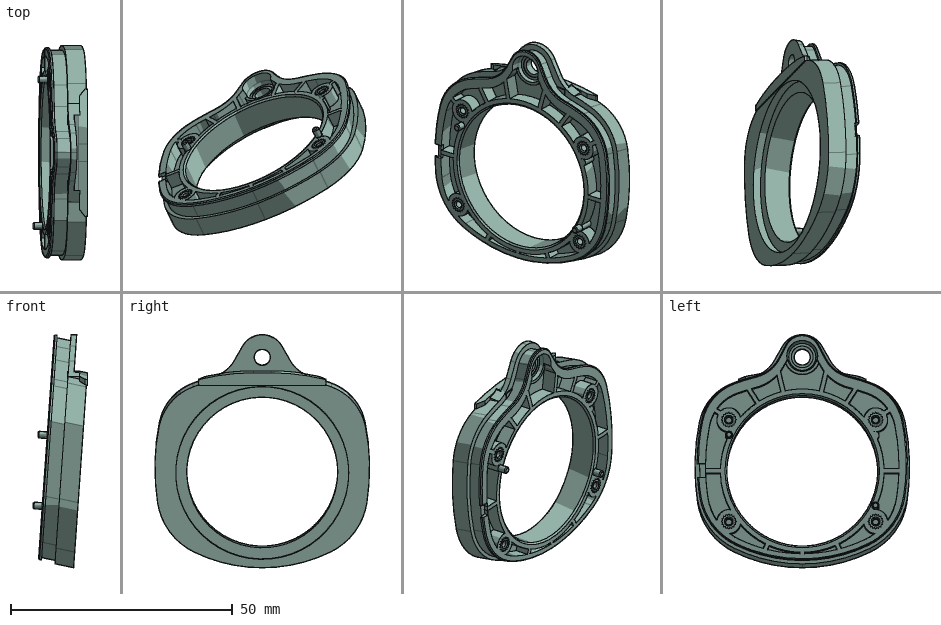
import cadquery as cq
import math

LEAN_ANGLE = 4.0
WALL_SLANT = math.tan(math.radians(8.0))

RIM_DEPTH = 0.7
RIM_CHAMFER = 0.25
FLANGE_FRONT = 3.78
LUG_BACK = 5.1
SHOULDER_BACK = 6.4
BORE_END = 6.3
FLANGE_BACK = 8.07

BOTTOM_RADIUS = 35.0
BOTTOM_EDGE = -20.28
SIDE_RADIUS = 49.0
SIDE_EDGE = 24.195
SIDE_CENTRE_Z = 1.96
TOP_RADIUS = 45.0
TOP_EDGE = 23.4
LOWER_CORNER_RADIUS = 15.0
UPPER_CORNER_RADIUS = 12.0

FLANGE_LUG = (5.1, 26.43, 12.9)
FRONT_LUG = (4.7, 26.83, 12.4)
LUG_FILLET_RADIUS = 7.5
LUG_ROOT_Y = FLANGE_LUG[2] * TOP_RADIUS / (TOP_RADIUS + LUG_FILLET_RADIUS)
LUG_BASE_Z = 20.5

RIM_INSET = 0.5
NECK_INSET = 1.05
FRONT_DROP = 0.3
POCKET_INSET = 2.4
POCKET_DROP = 0.9

BORE_RADIUS = 17.0
BORE_CHAMFER = 0.4
BACK_RECESS_RADIUS = 19.5

POCKET_DEPTH = 3.3
POCKET_INNER_RADIUS = 18.45
RIB_WIDTH = 1.0
RIB_LENGTH = 14.0
RIB_ANGLES = (13.5, 33.0, 55.0, 90.0, 154.7)
BOTTOM_RIB_ANGLE = 180.0

LUG_HOLE_Z = 25.9
LUG_HOLE_RADIUS = 1.8
LUG_HOLE_LEAD_IN_RADIUS = 2.45
LUG_HOLE_LEAD_IN_DEPTH = 0.15
LUG_SEAT_RADIUS = 3.05
LUG_MOUTH_RADIUS = 3.5
LUG_STEP_RADIUS = 3.35
LUG_SEAT_DEPTH = 2.9
LUG_BOSS_RADIUS = 4.0
LUG_BOSS_TOP = 2.0

INSERT_Y = 16.55
INSERT_Z = 11.5
INSERT_RADIUS = 1.69
INSERT_ROOT_RADIUS = 1.4
INSERT_LENGTH = 3.0
INSERT_HOLE_RADIUS = 0.72
INSERT_CHAMFER = 0.28
KNURL_TEETH = 16
INSERT_BOSS_RADIUS = 2.7

PIN_Y = 16.5
PIN_Z = 8.0
PIN_RADIUS = 0.78
PIN_LENGTH = 2.06
PIN_CHAMFER = 0.25
PIN_BOSS_RADIUS = 0.85
PIN_PLACES = ((PIN_Y, PIN_Z), (-PIN_Y, -PIN_Z))
PIN_BOSS_PLACES = PIN_PLACES + ((-PIN_Y, PIN_Z),)

NOTCH_WIDTH = 3.1
NOTCH_INNER_Y = SIDE_EDGE - POCKET_INSET
NOTCH_DEPTH = 0.9

HOOD_FILLER_BACK = 7.6
HOOD_PLATE_FRONT = 7.85
HOOD_PLATE_BACK = 9.69
HOOD_TOP = 22.48
HOOD_BOTTOM = 19.6
HOOD_FLAT_HALF_WIDTH = 2.0
HOOD_ARC_RADIUS = 50.0
HOOD_SLANT = math.tan(math.radians(12.0))
HOOD_HALF_WIDTH = 14.35
HOOD_FRONT_HALF_WIDTH = 12.8
HOOD_END_DEPTH = 1.25
HOOD_STEP_HALF_WIDTH = 8.5

REACH = 60.0


def along(start, toward, distance):
    """Point at a distance from start on the line toward another point."""
    span = math.dist(start, toward)
    return tuple(a + (b - a) * distance / span for a, b in zip(start, toward))


def meeting_point(centre_a, radius_a, centre_b, radius_b):
    """Rightmost (+Y) crossing of two circles."""
    (ya, za), (yb, zb) = centre_a, centre_b
    gap = math.dist(centre_a, centre_b)
    run = (radius_a**2 - radius_b**2 + gap**2) / (2 * gap)
    rise = math.sqrt(radius_a**2 - run**2)
    uy, uz = (yb - ya) / gap, (zb - za) / gap
    return max((ya + run * uy - s * rise * uz, za + run * uz + s * rise * uy) for s in (1, -1))


def arc_edge(centre, start, end):
    """Shorter arc about a centre in the plane X = 0."""
    middle = along(centre, tuple((a + b) / 2 for a, b in zip(start, end)), math.dist(centre, start))
    return cq.Edge.makeThreePointArc(*(cq.Vector(0, *p) for p in (start, middle, end)))


def outline(inset=0.0, rise=0.0, lug=FLANGE_LUG):
    """Face in the plane X = 0 bounded by the oval, with or without the lug."""
    bottom_r = BOTTOM_RADIUS - inset
    side_r = SIDE_RADIUS - inset
    top_r = TOP_RADIUS - inset
    lower_r = LOWER_CORNER_RADIUS - inset
    upper_r = UPPER_CORNER_RADIUS - inset
    bottom_c = (0, BOTTOM_EDGE + BOTTOM_RADIUS)
    side_c = (SIDE_EDGE - SIDE_RADIUS, SIDE_CENTRE_Z)
    top_c = (0, TOP_EDGE - TOP_RADIUS)
    lower_c = meeting_point(bottom_c, bottom_r - lower_r, side_c, side_r - lower_r)
    upper_c = meeting_point(top_c, top_r - upper_r, side_c, side_r - upper_r)

    bottom = (0, BOTTOM_EDGE + inset)
    bottom_to_lower = along(bottom_c, lower_c, bottom_r)
    lower_to_side = along(side_c, lower_c, side_r)
    side_to_upper = along(side_c, upper_c, side_r)
    upper_to_top = along(top_c, upper_c, top_r)
    edges = [
        arc_edge(bottom_c, bottom, bottom_to_lower),
        arc_edge(lower_c, bottom_to_lower, lower_to_side),
        arc_edge(side_c, lower_to_side, side_to_upper),
        arc_edge(upper_c, side_to_upper, upper_to_top),
    ]
    if lug:
        edges += lug_edges(lug, inset, top_c, upper_to_top)
    else:
        edges.append(arc_edge(top_c, upper_to_top, (0, TOP_EDGE - inset)))
    edges += [edge.mirror("XZ") for edge in edges]
    face = cq.Face.makeFromWires(cq.Wire.assembleEdges(edges))
    return face.translate(cq.Vector(0, 0, rise))


def lug_edges(lug, inset, top_c, start):
    """Top arc, concave fillet, straight flank and round end of one half of the lug."""
    top_r = TOP_RADIUS - inset
    end_r, end_z, fillet_y = lug
    lug_r = end_r - inset
    fillet_r = LUG_FILLET_RADIUS + inset
    lug_c = (0, end_z)
    reach = TOP_RADIUS + LUG_FILLET_RADIUS
    fillet_c = (fillet_y, top_c[1] + math.sqrt(reach**2 - fillet_y**2))
    top_to_fillet = along(top_c, fillet_c, top_r)

    bearing = math.atan2(fillet_c[1] - lug_c[1], fillet_c[0] - lug_c[0])
    normal = bearing + math.acos((lug_r + fillet_r) / math.dist(lug_c, fillet_c))
    ny, nz = math.cos(normal), math.sin(normal)
    flank_low = (fillet_c[0] - fillet_r * ny, fillet_c[1] - fillet_r * nz)
    flank_high = (lug_c[0] + lug_r * ny, lug_c[1] + lug_r * nz)
    return [
        arc_edge(top_c, start, top_to_fillet),
        arc_edge(fillet_c, top_to_fillet, flank_low),
        cq.Edge.makeLine(cq.Vector(0, *flank_low), cq.Vector(0, *flank_high)),
        arc_edge(lug_c, flank_high, (0, end_z + lug_r)),
    ]


def layer(face, front, back, slant=WALL_SLANT, drop_from=0.0):
    """Solid from a face between two depths; its walls drop with depth from the given depth on."""
    start = cq.Vector(front, 0, -slant * (front - drop_from))
    length = cq.Vector(back - front, 0, -slant * (back - front))
    return cq.Workplane(cq.Solid.extrudeLinear(face.translate(start), length))


def cylinder(radius, front, back, y=0.0, z=0.0):
    return cq.Workplane("YZ", origin=(front, y, z)).circle(radius).extrude(back - front)


def cone(front_radius, back_radius, front, back, y=0.0, z=0.0):
    return cq.Workplane(
        cq.Solid.makeCone(front_radius, back_radius, back - front, cq.Vector(front, y, z), cq.Vector(1, 0, 0))
    )


def block(x_range, y_range, z_range):
    lows, highs = zip(x_range, y_range, z_range)
    sizes = [high - low for low, high in zip(lows, highs)]
    return cq.Workplane("XY").box(*sizes, centered=False).translate(lows)


def front_shell():
    """Chamfered rim and the narrower neck that joins it to the flange."""
    rim = layer(outline(RIM_INSET, -FRONT_DROP, FRONT_LUG), 0, RIM_DEPTH)
    rim = rim.faces("<X").chamfer(RIM_CHAMFER)
    neck = layer(outline(NECK_INSET, -FRONT_DROP, FRONT_LUG), 0, FLANGE_FRONT)
    return rim.union(neck)


def flange():
    """Lug plate, oval body and hood."""
    oval = layer(outline(lug=None), FLANGE_FRONT, FLANGE_BACK)
    front_rise = -WALL_SLANT * FLANGE_FRONT
    level = -math.tan(math.radians(LEAN_ANGLE))
    lug = layer(outline(rise=front_rise), FLANGE_FRONT, SHOULDER_BACK, level, FLANGE_FRONT)
    lug = lug.intersect(block((0, REACH), (-LUG_ROOT_Y, LUG_ROOT_Y), (LUG_BASE_Z, REACH)))
    lug = lug.cut(
        block((LUG_BACK, REACH), (-HOOD_STEP_HALF_WIDTH, HOOD_STEP_HALF_WIDTH), (0, REACH))
    )
    return oval.union(lug).union(hood())


def hood_face():
    """Upright end face of the hood: a flat top that curves down on both sides."""
    arc_width = HOOD_HALF_WIDTH - HOOD_FLAT_HALF_WIDTH
    bend = math.asin(arc_width / HOOD_ARC_RADIUS)

    def on_arc(angle):
        y = HOOD_FLAT_HALF_WIDTH + HOOD_ARC_RADIUS * math.sin(angle)
        return y, HOOD_TOP - HOOD_ARC_RADIUS * (1 - math.cos(angle))

    (mid_y, mid_z), (end_y, end_z) = on_arc(bend / 2), on_arc(bend)
    profile = (
        cq.Workplane("YZ")
        .moveTo(-HOOD_FLAT_HALF_WIDTH, HOOD_TOP)
        .lineTo(HOOD_FLAT_HALF_WIDTH, HOOD_TOP)
        .threePointArc((mid_y, mid_z), (end_y, end_z))
        .lineTo(end_y, HOOD_BOTTOM)
        .lineTo(-end_y, HOOD_BOTTOM)
        .lineTo(-end_y, end_z)
        .threePointArc((-mid_y, mid_z), (-HOOD_FLAT_HALF_WIDTH, HOOD_TOP))
        .close()
    )
    return cq.Face.makeFromWires(profile.val())


def hood():
    """Arched plate with bevelled ends, joined to the lug by a level filler in the middle."""
    plan = (
        cq.Workplane("XY")
        .moveTo(HOOD_FILLER_BACK, HOOD_STEP_HALF_WIDTH)
        .lineTo(HOOD_PLATE_FRONT, HOOD_STEP_HALF_WIDTH)
        .lineTo(HOOD_PLATE_FRONT, HOOD_FRONT_HALF_WIDTH)
        .lineTo(HOOD_PLATE_FRONT + HOOD_END_DEPTH, HOOD_HALF_WIDTH)
        .lineTo(HOOD_PLATE_BACK, HOOD_HALF_WIDTH)
        .lineTo(HOOD_PLATE_BACK, 0)
        .lineTo(HOOD_FILLER_BACK, 0)
        .close()
        .extrude(REACH)
    )
    plan = plan.union(plan.mirror("XZ"))
    plate = layer(hood_face(), HOOD_FILLER_BACK, HOOD_PLATE_BACK, HOOD_SLANT, HOOD_FILLER_BACK)
    filler = layer(hood_face(), LUG_BACK, HOOD_FILLER_BACK, 0)
    filler = filler.intersect(
        block((0, REACH), (-HOOD_STEP_HALF_WIDTH, HOOD_STEP_HALF_WIDTH), (0, REACH))
    )
    upright = plate.intersect(plan).union(filler)
    return upright.rotate((0, 0, 0), (0, 1, 0), -LEAN_ANGLE)


def bore():
    """Chamfered bore with a wider recess behind it."""
    through = cylinder(BORE_RADIUS, 0, FLANGE_BACK)
    mouth = cone(BORE_RADIUS + BORE_CHAMFER, BORE_RADIUS, 0, BORE_CHAMFER)
    recess = cylinder(BACK_RECESS_RADIUS, BORE_END, FLANGE_BACK)
    return through.union(mouth).union(recess)


def insert_places():
    return [(sy * INSERT_Y, sz * INSERT_Z) for sy in (1, -1) for sz in (1, -1)]


def rib(angle):
    """Radial rib at an angle from the top of the ring."""
    bar = block(
        (0, POCKET_DEPTH), (-RIB_WIDTH / 2, RIB_WIDTH / 2), (BORE_RADIUS, BORE_RADIUS + RIB_LENGTH)
    )
    return bar.rotate((0, 0, 0), (1, 0, 0), angle)


def pockets():
    """Space between the outer wall and the bore wall, less the ribs and bosses."""
    space = layer(outline(POCKET_INSET, -POCKET_DROP), 0, POCKET_DEPTH, 0)
    space = space.cut(cylinder(POCKET_INNER_RADIUS, 0, POCKET_DEPTH))
    for angle in RIB_ANGLES:
        space = space.cut(rib(angle)).cut(rib(-angle))
    space = space.cut(rib(BOTTOM_RIB_ANGLE))
    for y, z in insert_places():
        space = space.cut(cylinder(INSERT_BOSS_RADIUS, 0, POCKET_DEPTH, y, z))
    for y, z in PIN_BOSS_PLACES:
        space = space.cut(cylinder(PIN_BOSS_RADIUS, 0, POCKET_DEPTH, y, z))
    return space.cut(cylinder(LUG_BOSS_RADIUS, LUG_BOSS_TOP, POCKET_DEPTH, 0, LUG_HOLE_Z))


def lug_hole():
    """Tapered mouth and seat, shallow lead-in and through hole."""
    mouth = cone(LUG_MOUTH_RADIUS, LUG_STEP_RADIUS, 0, LUG_BOSS_TOP, 0, LUG_HOLE_Z)
    seat = cone(LUG_STEP_RADIUS, LUG_SEAT_RADIUS, LUG_BOSS_TOP, LUG_SEAT_DEPTH, 0, LUG_HOLE_Z)
    lead_in_end = LUG_SEAT_DEPTH + LUG_HOLE_LEAD_IN_DEPTH
    lead_in = cylinder(LUG_HOLE_LEAD_IN_RADIUS, LUG_SEAT_DEPTH, lead_in_end, 0, LUG_HOLE_Z)
    hole = cylinder(LUG_HOLE_RADIUS, 0, FLANGE_BACK, 0, LUG_HOLE_Z)
    return mouth.union(seat).union(lead_in).union(hole)


def rim_notch():
    return block((0, NOTCH_DEPTH), (NOTCH_INNER_Y, REACH), (-NOTCH_WIDTH / 2, NOTCH_WIDTH / 2))


def pin(y, z):
    """Locating pin standing out of the front face."""
    body = cylinder(PIN_RADIUS, -PIN_LENGTH, POCKET_DEPTH, y, z)
    return body.faces("<X").chamfer(PIN_CHAMFER)


def knurled_plug():
    """Insert blank with pointed teeth around it, centred on the X axis."""
    points = []
    for step in range(2 * KNURL_TEETH):
        radius = INSERT_ROOT_RADIUS if step % 2 else INSERT_RADIUS
        angle = math.pi * step / KNURL_TEETH
        points.append((radius * math.cos(angle), radius * math.sin(angle)))
    return cq.Workplane("YZ").polyline(points).close().extrude(INSERT_LENGTH)


def threaded_insert(y, z):
    """Knurled insert with a chamfered hole through it."""
    hole = cylinder(INSERT_HOLE_RADIUS, 0, INSERT_LENGTH)
    mouth = cone(INSERT_HOLE_RADIUS + INSERT_CHAMFER, INSERT_HOLE_RADIUS, 0, INSERT_CHAMFER)
    return knurled_plug().cut(hole).cut(mouth).translate((0, y, z))


def make_housing():
    body = front_shell().union(flange())
    body = body.cut(bore()).cut(pockets()).cut(lug_hole()).cut(rim_notch())
    for y, z in PIN_PLACES:
        body = body.union(pin(y, z))
    for y, z in insert_places():
        body = body.cut(knurled_plug().translate((0, y, z)))
    return body


def leaned(body):
    return body.rotate((0, 0, 0), (0, 1, 0), LEAN_ANGLE)


housing = leaned(make_housing())
inserts = [leaned(threaded_insert(y, z)) for y, z in insert_places()]

result = cq.Compound.makeCompound([housing.val(), *[insert.val() for insert in inserts]])